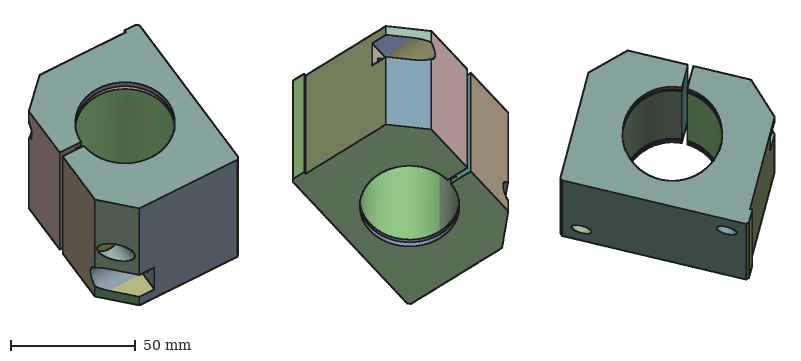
import cadquery as cq

half_width = 39.0
depth = 60.0
height = 67.0
back_y = depth / 2
front_y = -depth / 2
front_chamfer = 13.0
back_chamfer = 1.0

ledge_step = 1.0
ledge_length = 6.5
left_x = -half_width + ledge_step

bore_diameter = 40.0
groove_diameter = 45.0
groove_width = 1.85
groove_inset = 2.8

slot_width = 2.2

mount_x = 30.0
mount_z = 20.0
mount_hole_diameter = 8.4
mount_pocket_width = 15.0
mount_pocket_depth = 20.0

screw_recess_diameter = 11.0
screw_recess_y = -23.8
screw_recess_floor_x = half_width - front_chamfer


def block():
    outline = [
        (left_x + front_chamfer, front_y),
        (half_width - front_chamfer, front_y),
        (half_width, front_y + front_chamfer),
        (half_width, back_y - back_chamfer),
        (half_width - back_chamfer, back_y),
        (-half_width + back_chamfer, back_y),
        (-half_width, back_y - back_chamfer),
        (-half_width, back_y - ledge_length),
        (left_x, back_y - ledge_length),
        (left_x, front_y + front_chamfer),
    ]
    return cq.Workplane("XY").polyline(outline).close().extrude(height / 2, both=True)


def bore():
    cutter = cq.Workplane("XY").circle(bore_diameter / 2).extrude(height / 2, both=True)
    groove_z = height / 2 - groove_inset - groove_width / 2
    for z in (-groove_z, groove_z):
        groove = cq.Workplane("XY").circle(groove_diameter / 2).extrude(groove_width / 2, both=True)
        cutter = cutter.union(groove.translate((0, 0, z)))
    return cutter


def clamping_slot():
    return cq.Workplane("XY").box(slot_width, depth / 2, height).translate((0, front_y / 2, 0))


def mounting_cut(side):
    """Hole and pocket on one side: side is +1 for +X (lower hole), -1 for -X (upper hole)."""
    x = side * mount_x
    z = -side * mount_z
    front_plane = cq.Workplane("XZ", origin=(x, front_y, z))
    hole = front_plane.circle(mount_hole_diameter / 2).extrude(-depth)
    rounded_end = front_plane.circle(mount_pocket_width / 2).extrude(-mount_pocket_depth)
    open_length = half_width - mount_x
    open_end = (
        front_plane.center(side * open_length / 2, 0)
        .rect(open_length, mount_pocket_width)
        .extrude(-mount_pocket_depth)
    )
    return hole.union(rounded_end).union(open_end)


def screw_recess():
    floor = cq.Workplane("YZ", origin=(screw_recess_floor_x, screw_recess_y, 0))
    return floor.circle(screw_recess_diameter / 2).extrude(half_width - screw_recess_floor_x)


result = block().cut(bore()).cut(clamping_slot())
for mount_side in (-1, 1):
    result = result.cut(mounting_cut(mount_side))
result = result.cut(screw_recess())